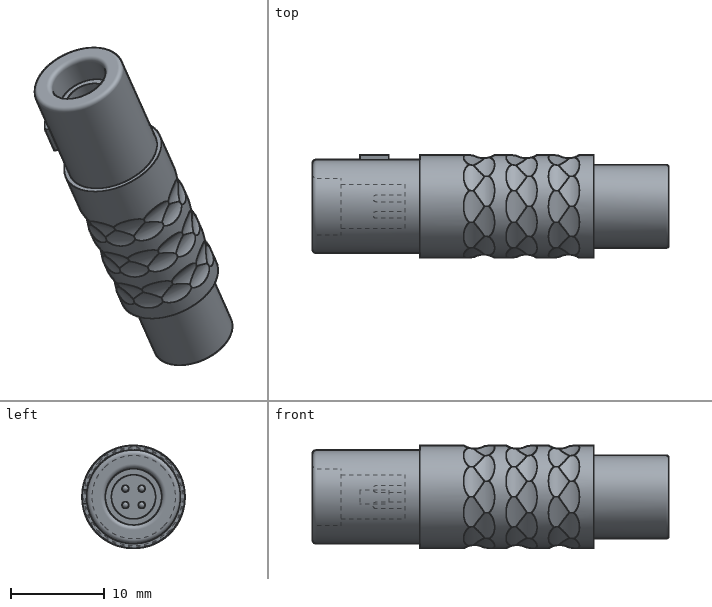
import cadquery as cq

LENGTH = 38.0
FRONT_X = -LENGTH / 2
FRONT_LENGTH = 11.48
SLEEVE_LENGTH = 18.55
REAR_LENGTH = LENGTH - FRONT_LENGTH - SLEEVE_LENGTH
FRONT_RADIUS = 10.0 / 2
SLEEVE_RADIUS = 11.0 / 2
REAR_RADIUS = 8.9 / 2
SLEEVE_X = FRONT_X + FRONT_LENGTH
REAR_X = SLEEVE_X + SLEEVE_LENGTH

FRONT_RIM_FILLET = 0.45
MOUTH_FILLET = 0.5
REAR_RIM_FILLET = 0.3

BORE_RADIUS = 3.0
BORE_DEPTH = 3.05
INNER_BORE_RADIUS = 2.35
INNER_BORE_DEPTH = 9.88
PIN_RADIUS = 0.36
PIN_SPACING = 1.75
PIN_LENGTH = 3.42

KEY_OFFSET = 5.1
KEY_LENGTH = 3.08
KEY_WIDTH = 1.5

RING_PAIRS = 3
RING_PAIR_PITCH = 4.52
FIRST_PAIR_OFFSET = 17.8
RING_SPACING = 0.95
SCALLOPS_PER_RING = 10
SCALLOP_RADIUS = 2.2
SCALLOP_DEPTH = 0.35


def rod(start_x, length, radius):
    """Solid cylinder along X from start_x."""
    return cq.Workplane("YZ", origin=(start_x, 0, 0)).circle(radius).extrude(length)


def scallop_cutter(x, angle):
    """Cylinder lying tangentially across the sleeve, turned by angle degrees about X from +Z."""
    axis_height = SLEEVE_RADIUS - SCALLOP_DEPTH + SCALLOP_RADIUS
    cutter = (
        cq.Workplane("XZ")
        .center(x, axis_height)
        .circle(SCALLOP_RADIUS)
        .extrude(SLEEVE_RADIUS, both=True)
    )
    return cutter.rotate((0, 0, 0), (1, 0, 0), angle).val()


def grip_cutters():
    """Cutters of all ring pairs; the second ring of a pair is turned by half a step."""
    step = 360 / SCALLOPS_PER_RING
    cutters = []
    for pair in range(RING_PAIRS):
        middle_x = FRONT_X + FIRST_PAIR_OFFSET + pair * RING_PAIR_PITCH
        for i in range(SCALLOPS_PER_RING):
            cutters.append(scallop_cutter(middle_x - RING_SPACING / 2, i * step))
            cutters.append(scallop_cutter(middle_x + RING_SPACING / 2, (i + 0.5) * step))
    return cutters


def front_tube():
    """Front tube with a rounded rim and a flared socket mouth."""
    tube = rod(FRONT_X, FRONT_LENGTH, FRONT_RADIUS)
    tube = tube.faces("<X").edges().fillet(FRONT_RIM_FILLET)
    tube = tube.cut(rod(FRONT_X, BORE_DEPTH, BORE_RADIUS))
    mouth_edge = cq.selectors.RadiusNthSelector(0)
    tube = tube.faces("<X").edges(mouth_edge).fillet(MOUTH_FILLET)
    return tube.cut(rod(FRONT_X, INNER_BORE_DEPTH, INNER_BORE_RADIUS))


def contact_pins():
    """Square pattern of pins with hemispherical tips standing on the socket floor."""
    floor_x = FRONT_X + INNER_BORE_DEPTH
    shank_length = PIN_LENGTH - PIN_RADIUS
    tip_x = floor_x - shank_length
    tip = cq.Workplane("XY").sphere(PIN_RADIUS).translate((tip_x, 0, 0))
    pin = rod(tip_x, shank_length, PIN_RADIUS).union(tip).val()
    pins = cq.Workplane("XY")
    for y in (-PIN_SPACING / 2, PIN_SPACING / 2):
        for z in (-PIN_SPACING / 2, PIN_SPACING / 2):
            pins = pins.add(pin.translate(cq.Vector(0, y, z)))
    return pins.combine()


def key():
    """Bar across the tube wall, trimmed to the sleeve radius and clear of the bore."""
    key_x = FRONT_X + KEY_OFFSET
    wall_middle = (BORE_RADIUS + FRONT_RADIUS) / 2
    bar = cq.Workplane("XY").box(
        KEY_LENGTH, SLEEVE_RADIUS, KEY_WIDTH, centered=(False, False, True)
    )
    bar = bar.translate((key_x, wall_middle, 0))
    return bar.intersect(rod(key_x, KEY_LENGTH, SLEEVE_RADIUS))


def sleeve():
    """Grip sleeve with the scallops cut into it."""
    blank = rod(SLEEVE_X, SLEEVE_LENGTH, SLEEVE_RADIUS)
    return cq.Workplane(blank.val().cut(*grip_cutters()))


def rear_tube():
    """Rear tube with a rounded end rim."""
    tube = rod(REAR_X, REAR_LENGTH, REAR_RADIUS)
    return tube.faces(">X").edges().fillet(REAR_RIM_FILLET)


result = front_tube().union(key()).union(contact_pins()).union(sleeve()).union(rear_tube())